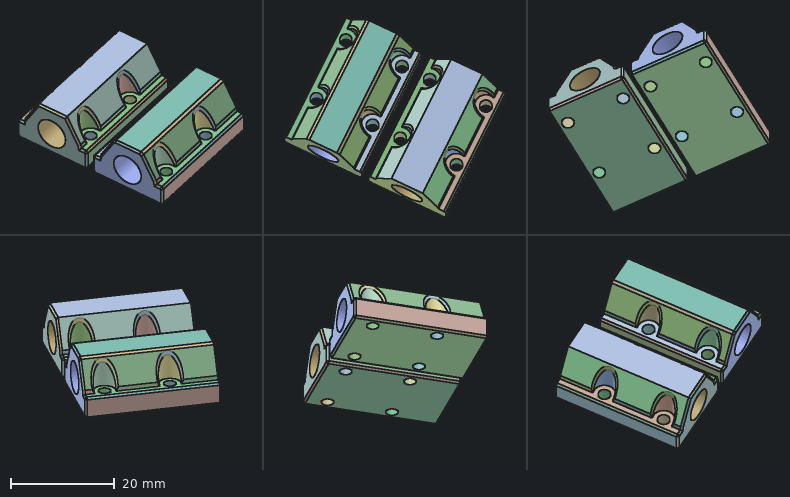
import cadquery as cq
import math

total_width = 34.6
block_width = 16.6
block_length = 26.8
block_height = 10.95
block_pitch = total_width - block_width
edge_chamfer = 0.4

flange_height = 4.53
foot_half_width = 6.75
shoulder_height = 5.35
ridge_half_width = 3.35
slope_from_vertical = 30
slope_run = (block_height - shoulder_height) * math.tan(math.radians(slope_from_vertical))
shoulder_half_width = ridge_half_width + slope_run

bore_diameter = 6.5
bore_height = 5.05

hole_diameter = 2.4
recess_diameter = 4.43
hole_offset_x = 6.02
first_hole_y = 4.43
hole_spacing_y = 12.98
hole_centers = [
    (side * hole_offset_x, first_hole_y + row * hole_spacing_y)
    for side in (-1, 1)
    for row in (0, 1)
]


def profile_points():
    """Symmetric block outline in the XZ plane, with the flange corners chamfered."""
    half_width = block_width / 2
    right_side = [
        (half_width - edge_chamfer, 0),
        (half_width, edge_chamfer),
        (half_width, flange_height - edge_chamfer),
        (half_width - edge_chamfer, flange_height),
        (foot_half_width, flange_height),
        (shoulder_half_width, shoulder_height),
        (ridge_half_width, block_height),
    ]
    left_side = [(-x, z) for x, z in reversed(right_side)]
    return right_side + left_side


def vertical_cylinders(diameter, base_height):
    """Cylinders over all the screw positions, from base_height to above the block."""
    base = cq.Workplane("XY").workplane(offset=base_height)
    return base.pushPoints(hole_centers).circle(diameter / 2).extrude(block_height)


def cut_recesses(body):
    """Cut the screw-head recesses and chamfer their rims on the ridge slopes."""
    body = body.cut(vertical_cylinders(recess_diameter, flange_height))
    rims = [
        edge
        for edge in body.edges("%ELLIPSE").vals()
        if edge.Center().z > shoulder_height
    ]
    return body.newObject(rims).chamfer(edge_chamfer)


def bearing_block(ridge_chamfered):
    body = cq.Workplane("XZ").polyline(profile_points()).close().extrude(-block_length)
    body = cut_recesses(body)

    if ridge_chamfered:
        body = body.faces(">Z").edges("|Y").chamfer(edge_chamfer)

    body = body.faces("<Y").edges().chamfer(edge_chamfer)

    bore = cq.Workplane("XZ").center(0, bore_height).circle(bore_diameter / 2).extrude(-block_length)
    return body.cut(vertical_cylinders(hole_diameter, 0)).cut(bore).solids()


sharp_block = bearing_block(ridge_chamfered=False).translate((-block_pitch / 2, 0, 0))
chamfered_block = bearing_block(ridge_chamfered=True).translate((block_pitch / 2, 0, 0))

result = cq.Compound.makeCompound([sharp_block.val(), chamfered_block.val()])